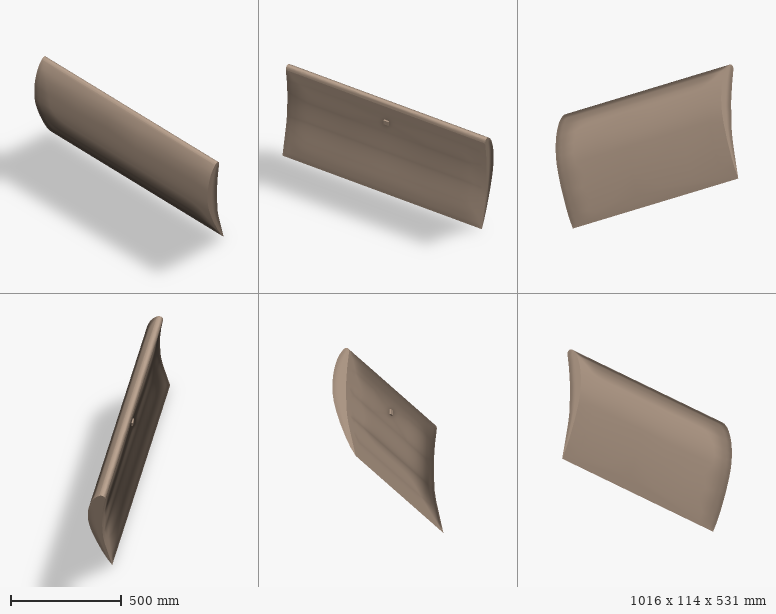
import cadquery as cq

SPAN = 1016.0
HEIGHT = 531.0
DEPTH = 114.0
TOP = HEIGHT / 2

TRAILING_TIP = (DEPTH / 2, -HEIGHT / 2)
CONVEX_CREST = (-DEPTH / 2, 88.0)
NOSE_FRONT = (-4.0, 260.0)
NOSE_CREST = (9.0, TOP)
NOSE_BACK = (24.0, 246.0)

NOSE_SLOPE = (-1, -1)

CONVEX_FACE = [
    NOSE_FRONT,
    (-10.0, 254.0),
    (-29.0, 227.0),
    (-44.0, 190.0),
    (-54.0, 143.0),
    CONVEX_CREST,
    (-55.0, 43.0),
    (-47.0, -3.0),
    (-31.0, -59.0),
    (-13.0, -114.0),
    (8.0, -169.0),
    (28.0, -214.0),
    TRAILING_TIP,
]

CONCAVE_FACE = [
    TRAILING_TIP,
    (46.0, -214.0),
    (33.0, -160.0),
    (21.0, -105.0),
    (13.0, -50.0),
    (10.0, 18.0),
    (9.0, 70.0),
    (11.0, 125.0),
    (16.0, 181.0),
    (22.0, 227.0),
    NOSE_BACK,
]

BLOCK_SIZE = 24.0
BLOCK_Z = 139.0
BLOCK_END_Y = 20.0
BLOCK_ROOT_Y = 0.0


def make_blade():
    section = (
        cq.Workplane("YZ", origin=(-SPAN / 2, 0, 0))
        .moveTo(*NOSE_FRONT)
        .spline(CONVEX_FACE[1:], includeCurrent=True)
        .spline(CONCAVE_FACE[1:], includeCurrent=True)
        .spline([NOSE_CREST, NOSE_FRONT], tangents=[(0, 1), (-1, 0), NOSE_SLOPE], includeCurrent=True)
        .close()
    )
    return section.extrude(SPAN)


def make_block():
    return (
        cq.Workplane("XZ", origin=(0, BLOCK_END_Y, BLOCK_Z))
        .rect(BLOCK_SIZE, BLOCK_SIZE)
        .extrude(BLOCK_END_Y - BLOCK_ROOT_Y)
    )


result = make_blade().union(make_block())